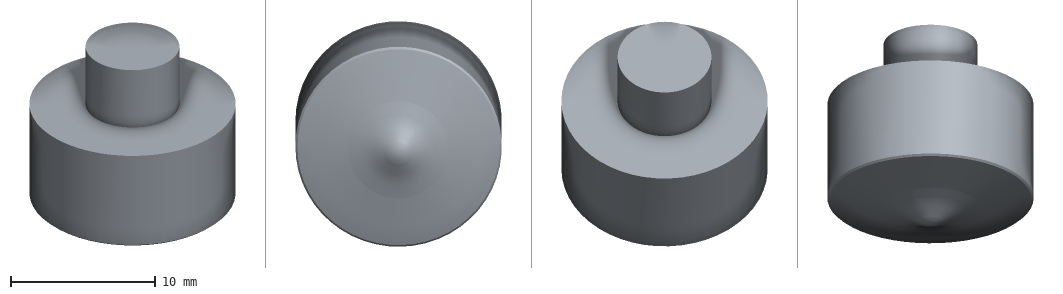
import cadquery as cq
import math

total_height = 13.76
body_diameter = 14.29
stem_diameter = 6.5
stem_height = 4.6
body_height = 7.15
edge_chamfer_width = 0.15
edge_chamfer_height = 0.13
flare_radius = 3.47
flare_height = 1.17
tip_radius = 0.79
tip_height = 0.19

body_radius = body_diameter / 2
stem_radius = stem_diameter / 2
body_top = total_height - stem_height
body_bottom = body_top - body_height
cone_top_radius = body_radius - edge_chamfer_width
cone_top = body_bottom - edge_chamfer_height

dome_radius = (tip_radius**2 + tip_height**2) / (2 * tip_height)
dome_half_angle = math.asin(tip_radius / dome_radius) / 2
dome_middle = (
    dome_radius * math.sin(dome_half_angle),
    dome_radius * (1 - math.cos(dome_half_angle)),
)

profile = (
    cq.Workplane("XZ")
    .moveTo(0, total_height)
    .lineTo(stem_radius, total_height)
    .lineTo(stem_radius, body_top)
    .lineTo(body_radius, body_top)
    .lineTo(body_radius, body_bottom)
    .lineTo(cone_top_radius, cone_top)
    .lineTo(flare_radius, flare_height)
    .tangentArcPoint((tip_radius, tip_height), relative=False)
    .threePointArc(dome_middle, (0, 0))
    .close()
)

result = profile.revolve(360, (0, 0, 0), (0, 1, 0))